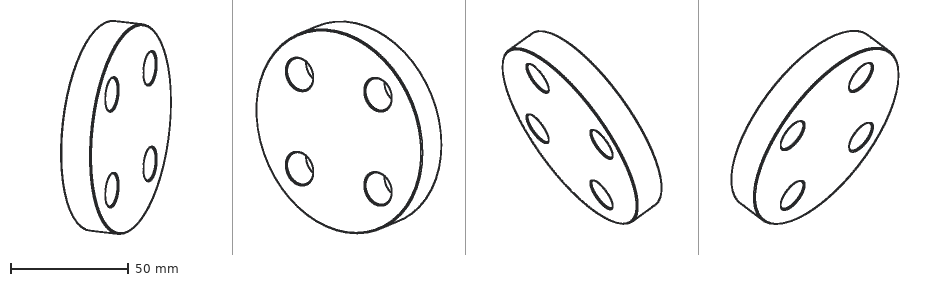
import cadquery as cq

flange_diameter = 90.0
flange_thickness = 14.0

bolt_circle_diameter = 60.0
bolt_hole_diameter = 14.0
bolt_hole_count = 4
first_hole_angle = 180 / bolt_hole_count

edge_chamfer = 0.5


def make_disc():
    """Solid disc centred on the origin."""
    return (
        cq.Workplane("YZ", origin=(-flange_thickness / 2, 0, 0))
        .circle(flange_diameter / 2)
        .extrude(flange_thickness)
    )


def make_bolt_holes():
    """Cylinders that cut the bolt holes right through the disc."""
    return (
        cq.Workplane("YZ", origin=(-flange_thickness / 2, 0, 0))
        .polarArray(bolt_circle_diameter / 2, first_hole_angle, 360, bolt_hole_count)
        .circle(bolt_hole_diameter / 2)
        .extrude(flange_thickness)
    )


drilled_disc = make_disc().cut(make_bolt_holes())

result = drilled_disc.faces("<X or >X").edges().chamfer(edge_chamfer)